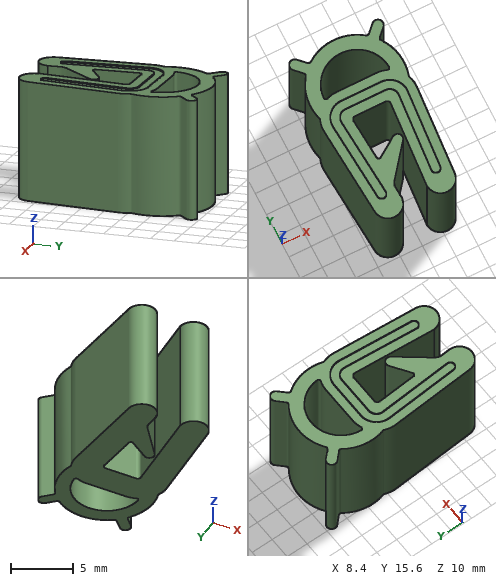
import cadquery as cq
import math

length_y = 15.56
height = 10.0

bulb_radius = 4.2
bulb_wall = 1.26
bulb_y = length_y - bulb_radius
hollow_radius = bulb_radius - bulb_wall
hollow_corner_fillet = 0.19

fin_radius = 0.47
fin_x = bulb_radius - fin_radius
fin_y = length_y - fin_radius
fin_root_fillet = 0.22

leg_radius = 1.25
leg_x = 2.37
shoulder_x = 1.8
shoulder_y = 9.15
shoulder_radius = 2.38
notch_fillet = 0.15
slot_top_y = 9.04
slot_corner_fillet = 0.28

core_width = 0.78
core_tip_y = 2.21
core_outer_radius = 1.55
core_depth = 0.1

lip_radius = 0.44
lip_tip = (0.81, 5.77)
lip_root_x = -1.87
lip_upper_angle = math.radians(33.8)
lip_lower_angle = math.radians(51.8)
lip_upper_fillet = 0.19
lip_lower_fillet = 0.93

mid_radius = shoulder_radius - leg_radius
center_dx = shoulder_x - leg_x
center_dy = shoulder_y - leg_radius
leg_angle = math.asin(mid_radius / math.hypot(center_dx, center_dy)) - math.atan2(-center_dx, center_dy)
normal = (math.cos(leg_angle), -math.sin(leg_angle))


def leg_mid_x(y):
    """X of the right leg's middle line at a given Y."""
    return leg_x + (y - leg_radius) * math.tan(leg_angle)


def leg_inner_x(y):
    """X of the right leg's inner face at a given Y."""
    return leg_mid_x(y) - leg_radius / math.cos(leg_angle)


def mirrored(point):
    return (-point[0], point[1])


def shoulder_points(radius):
    """Start, middle and end of the right shoulder arc, from leg to top."""
    middle_angle = (math.pi / 2 - leg_angle) / 2
    return [
        (shoulder_x + radius * math.cos(a), shoulder_y + radius * math.sin(a))
        for a in (-leg_angle, middle_angle, math.pi / 2)
    ]


def arch(outer_radius, width, tip_y):
    """Closed outline of a U-shaped band with rounded corners and round tips."""
    half = width / 2
    tip = (leg_mid_x(tip_y), tip_y)
    tip_out = (tip[0] + half * normal[0], tip[1] + half * normal[1])
    tip_in = (tip[0] - half * normal[0], tip[1] - half * normal[1])
    tip_end = (tip[0] + half * normal[1], tip[1] - half * normal[0])
    outer = shoulder_points(outer_radius)
    inner = shoulder_points(outer_radius - width)
    return (
        cq.Workplane("XY")
        .moveTo(*tip_out)
        .lineTo(*outer[0])
        .threePointArc(outer[1], outer[2])
        .lineTo(*mirrored(outer[2]))
        .threePointArc(mirrored(outer[1]), mirrored(outer[0]))
        .lineTo(*mirrored(tip_out))
        .threePointArc(mirrored(tip_end), mirrored(tip_in))
        .lineTo(*mirrored(inner[0]))
        .threePointArc(mirrored(inner[1]), mirrored(inner[2]))
        .lineTo(*inner[2])
        .threePointArc(inner[1], inner[0])
        .lineTo(*tip_in)
        .threePointArc(tip_end, tip_out)
        .close()
    )


def clip_block():
    """Rounded clip without its slot, down to the leg tip centres."""
    outer = shoulder_points(shoulder_radius)
    tip_out = (leg_x + leg_radius * normal[0], leg_radius + leg_radius * normal[1])
    return (
        cq.Workplane("XY")
        .moveTo(*tip_out)
        .lineTo(*outer[0])
        .threePointArc(outer[1], outer[2])
        .lineTo(*mirrored(outer[2]))
        .threePointArc(mirrored(outer[1]), mirrored(outer[0]))
        .lineTo(*mirrored(tip_out))
        .close()
        .extrude(height)
    )


def slot():
    """Tapered gap between the legs."""
    top = (leg_inner_x(slot_top_y), slot_top_y)
    bottom = (leg_inner_x(0), 0)
    return (
        cq.Workplane("XY")
        .polyline([bottom, top, mirrored(top), mirrored(bottom)])
        .close()
        .extrude(height)
        .edges("|Z and >Y")
        .fillet(slot_corner_fillet)
    )


def leg_tips():
    centers = [(-leg_x, leg_radius), (leg_x, leg_radius)]
    return cq.Workplane("XY").pushPoints(centers).circle(leg_radius).extrude(height)


def fin(side):
    """Fin from the bulb centre to its round end; side is -1 for left and 1 for right."""
    reach = math.hypot(fin_x, fin_y - bulb_y)
    angle = math.degrees(math.atan2(fin_y - bulb_y, side * fin_x))
    return (
        cq.Workplane("XY")
        .center(side * fin_x / 2, (bulb_y + fin_y) / 2)
        .slot2D(reach + 2 * fin_radius, 2 * fin_radius, angle)
        .extrude(height)
    )


def lip():
    """Tapered lip with a round tip, rooted inside the left leg."""
    x, y = lip_tip
    upper = (x - lip_radius * math.sin(lip_upper_angle), y + lip_radius * math.cos(lip_upper_angle))
    lower = (x + lip_radius * math.sin(lip_lower_angle), y - lip_radius * math.cos(lip_lower_angle))
    middle_angle = (lip_upper_angle + lip_lower_angle) / 2
    end = (x + lip_radius * math.cos(middle_angle), y + lip_radius * math.sin(middle_angle))
    upper_root_y = upper[1] - (upper[0] - lip_root_x) * math.tan(lip_upper_angle)
    lower_root_y = lower[1] - (lower[0] - lip_root_x) * math.tan(lip_lower_angle)
    return (
        cq.Workplane("XY")
        .moveTo(lip_root_x, upper_root_y)
        .lineTo(*upper)
        .threePointArc(end, lower)
        .lineTo(lip_root_x, lower_root_y)
        .close()
        .extrude(height)
    )


def hollow():
    """Bulb hollow: a round opening cut off by the top of the clip."""
    return (
        cq.Workplane("XY")
        .center(0, bulb_y)
        .circle(hollow_radius)
        .extrude(height)
        .cut(clip_block())
        .edges("|Z and (<X or >X)")
        .fillet(hollow_corner_fillet)
    )


def fillet_upright(body, radius, point):
    """Round the upright edge closest to an XY point."""
    selector = cq.selectors.NearestToPointSelector((*point, height / 2))
    return body.edges("|Z").edges(selector).fillet(radius)


bulb = cq.Workplane("XY").center(0, bulb_y).circle(bulb_radius).extrude(height)
for side in (-1, 1):
    bulb = bulb.union(fin(side))
root_half_angle = math.asin(fin_radius / bulb_radius)
for side in (-1, 1):
    fin_angle = math.atan2(fin_y - bulb_y, side * fin_x)
    for root_angle in (fin_angle - root_half_angle, fin_angle + root_half_angle):
        root = (bulb_radius * math.cos(root_angle), bulb_y + bulb_radius * math.sin(root_angle))
        bulb = fillet_upright(bulb, fin_root_fillet, root)

result = bulb.union(clip_block())
spacing = math.hypot(shoulder_x, bulb_y - shoulder_y)
notch_angle = math.acos((bulb_radius**2 + spacing**2 - shoulder_radius**2) / (2 * bulb_radius * spacing))
notch_angle += math.atan2(shoulder_y - bulb_y, shoulder_x)
for side in (-1, 1):
    notch = (side * bulb_radius * math.cos(notch_angle), bulb_y + bulb_radius * math.sin(notch_angle))
    result = fillet_upright(result, notch_fillet, notch)

result = result.cut(hollow()).cut(slot())
result = result.union(leg_tips()).union(lip())

lip_roots = [
    (1, lip_upper_angle, lip_upper_fillet),
    (-1, lip_lower_angle, lip_lower_fillet),
]
for edge_side, edge_angle, fillet_radius in lip_roots:
    edge_x = lip_tip[0] - edge_side * lip_radius * math.sin(edge_angle)
    edge_y = lip_tip[1] + edge_side * lip_radius * math.cos(edge_angle)
    gap = edge_x + leg_inner_x(edge_y)
    root_y = edge_y - gap / (1 / math.tan(edge_angle) + math.tan(leg_angle))
    result = fillet_upright(result, fillet_radius, (-leg_inner_x(root_y), root_y))

recess = arch(core_outer_radius, core_width, core_tip_y).extrude(core_depth)
result = result.cut(recess.translate((0, 0, height - core_depth)))